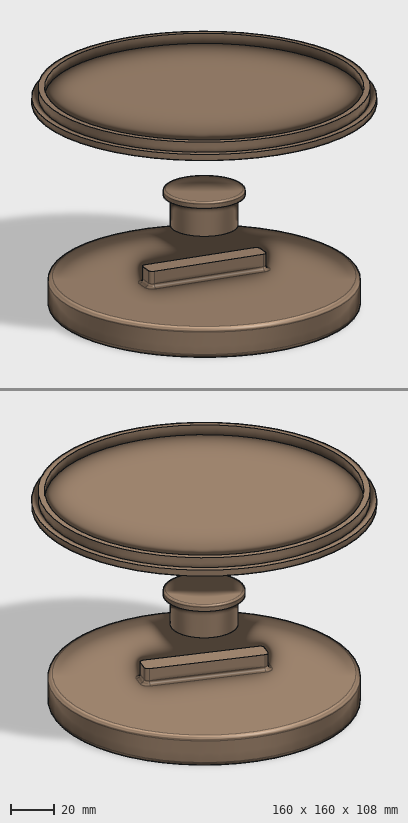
import cadquery as cq

base_diameter = 145.0
base_height = 15.0
base_edge_radius = 2.0
bar_width = 10.0
bar_length = 60.0
bar_height = 8.0
bar_corner_radius = 2.0
bar_root_radius = 2.0

plug_bottom = 40.0
plug_height = 18.0
plug_flange_thickness = 3.0
plug_flange_diameter = 38.0
plug_shaft_diameter = 31.5
plug_fillet_radius = 1.0

lid_top = 108.0
lid_height = 8.0
lid_flange_thickness = 3.0
lid_flange_diameter = 160.0
rim_outer_diameter = 154.0
rim_inner_diameter = 148.0
lid_recess_depth = lid_height - lid_flange_thickness


def disc(diameter, bottom, height):
    """Solid disc centred on the Z axis."""
    return cq.Workplane("XY").workplane(offset=bottom).circle(diameter / 2).extrude(height)


def make_base():
    """Disc with rounded rims and a bar along Y, blended into its top face."""
    body = disc(base_diameter, 0, base_height).faces("<Z or >Z").edges().fillet(base_edge_radius)
    bar = (
        cq.Workplane("XY")
        .workplane(offset=base_height)
        .rect(bar_width, bar_length)
        .extrude(bar_height)
        .edges("|Z")
        .fillet(bar_corner_radius)
    )
    body = body.union(bar)
    root_zone = cq.selectors.BoxSelector(
        (-bar_width, -bar_length, base_height - bar_root_radius / 2),
        (bar_width, bar_length, base_height + bar_root_radius / 2),
        boundingbox=True,
    )
    return body.edges(root_zone).fillet(bar_root_radius)


def make_plug():
    """Round shaft under a flange, with a rounded top rim and a filleted shoulder."""
    flange_bottom = plug_bottom + plug_height - plug_flange_thickness
    flange = disc(plug_flange_diameter, flange_bottom, plug_flange_thickness)
    flange = flange.faces(">Z").edges().fillet(plug_fillet_radius)
    shaft = disc(plug_shaft_diameter, plug_bottom, plug_height - plug_flange_thickness)
    body = flange.union(shaft)
    shoulder_radius = plug_shaft_diameter / 2
    shoulder_zone = cq.selectors.BoxSelector(
        (-shoulder_radius - plug_fillet_radius, -shoulder_radius - plug_fillet_radius,
         flange_bottom - plug_fillet_radius),
        (shoulder_radius + plug_fillet_radius, shoulder_radius + plug_fillet_radius,
         flange_bottom + plug_fillet_radius),
        boundingbox=True,
    )
    return body.edges(shoulder_zone).fillet(plug_fillet_radius)


def make_lid():
    """Wide flange carrying a raised rim around an open recess."""
    lid_bottom = lid_top - lid_height
    flange = disc(lid_flange_diameter, lid_bottom, lid_flange_thickness)
    rim = disc(rim_outer_diameter, lid_bottom, lid_height)
    recess = disc(rim_inner_diameter, lid_top - lid_recess_depth, lid_recess_depth)
    return flange.union(rim).cut(recess)


base = make_base()
plug = make_plug()
lid = make_lid()

result = cq.Compound.makeCompound([base.val(), plug.val(), lid.val()])